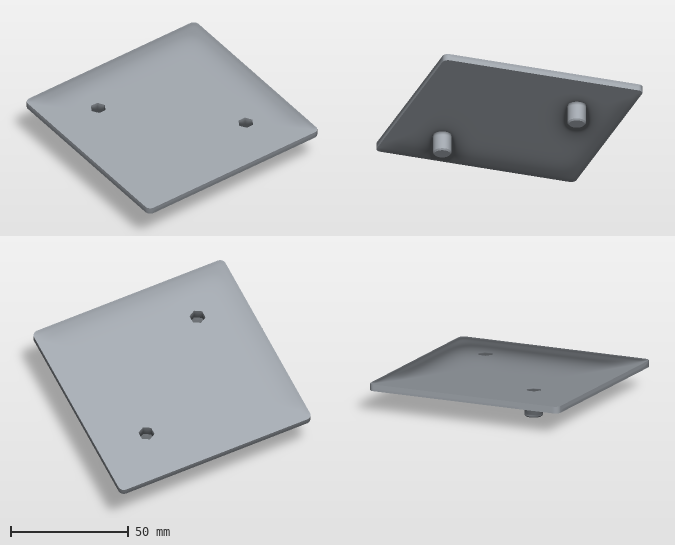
import cadquery as cq
import math

PLATE_SIDE = 90.0
PLATE_THICKNESS = 3.0
CORNER_RADIUS = 2.5

SCREW_LENGTH = 11.5
SHANK_DIAMETER = 8.0
HEAD_DIAMETER = 13.0
TIP_CHAMFER = 0.6
SOCKET_FLATS = 5.9
SOCKET_DEPTH = 5.0

HOLE_DIAMETER = 8.5
HALF_ANGLE = math.radians(45)
SCREW_OFFSET = PLATE_SIDE / 4
SCREW_CENTERS = [(-SCREW_OFFSET, -SCREW_OFFSET), (SCREW_OFFSET, SCREW_OFFSET)]


def countersunk_shape(body_diameter, length):
    """Cylinder below Z = 0 that flares out to the head diameter at the top."""
    body_radius = body_diameter / 2
    head_radius = HEAD_DIAMETER / 2
    cone_depth = (head_radius - body_radius) / math.tan(HALF_ANGLE)
    return (
        cq.Workplane("XZ")
        .moveTo(0, 0)
        .lineTo(head_radius, 0)
        .lineTo(body_radius, -cone_depth)
        .lineTo(body_radius, -length)
        .lineTo(0, -length)
        .close()
        .revolve(360, (0, 0), (0, 1))
    )


def make_plate():
    """Square plate with rounded corners and a countersunk hole for each screw."""
    plate = (
        cq.Workplane("XY")
        .rect(PLATE_SIDE, PLATE_SIDE)
        .extrude(-PLATE_THICKNESS)
        .edges("|Z")
        .fillet(CORNER_RADIUS)
    )
    hole = countersunk_shape(HOLE_DIAMETER, PLATE_THICKNESS)
    for x, y in SCREW_CENTERS:
        plate = plate.cut(hole.translate((x, y, 0)))
    return plate


def make_screw(x, y):
    """Countersunk screw with a chamfered tip and a hex socket, corners along Y."""
    screw = countersunk_shape(SHANK_DIAMETER, SCREW_LENGTH).faces("<Z").edges().chamfer(TIP_CHAMFER)
    corner_diameter = SOCKET_FLATS / math.cos(math.radians(30))
    socket = (
        cq.Workplane("XY")
        .transformed(rotate=(0, 0, 90))
        .polygon(6, corner_diameter)
        .extrude(-SOCKET_DEPTH)
    )
    return screw.cut(socket).translate((x, y, 0))


plate = make_plate()
screws = [make_screw(x, y) for x, y in SCREW_CENTERS]

result = cq.Compound.makeCompound([plate.val(), *[screw.val() for screw in screws]])